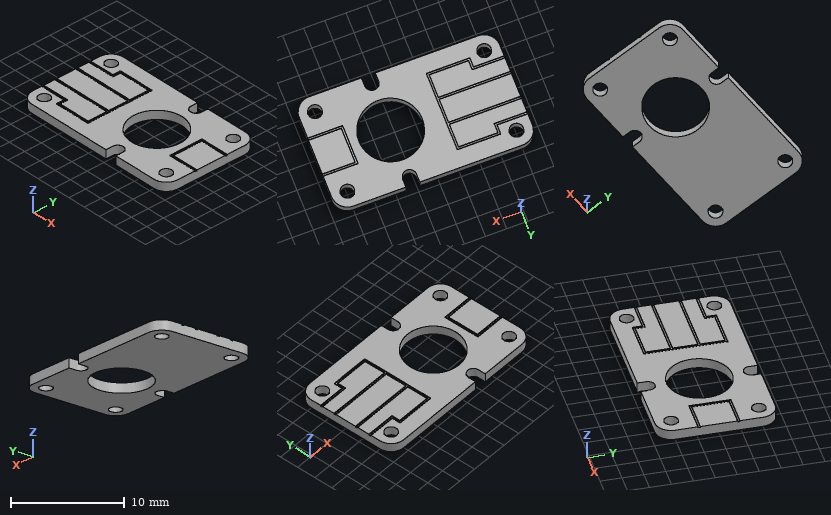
import cadquery as cq

length = 19.0
width = 11.0
thickness = 1.0
corner_radius = 1.5

mount_hole_diameter = 1.3
bore_diameter = 5.97
bore_x = 2.38
notch_width = 1.3
notch_depth = 1.46

groove_width = 0.19
groove_depth = 0.1

left_group_length = 7.03
left_group_half_width = 3.82
neck_length = 2.93
neck_half_width = 2.9
divider_y = 1.25

right_group_length = 3.3
right_group_width = 3.8


def box_between(x_min, x_max, y_min, y_max, z_min, z_max):
    size = (x_max - x_min, y_max - y_min, z_max - z_min)
    return cq.Workplane("XY").box(*size, centered=False).translate((x_min, y_min, z_min))


def groove_block(x_min, x_max, half_width):
    """Block of groove depth under the top face, symmetric about the X axis."""
    return box_between(x_min, x_max, -half_width, half_width, thickness - groove_depth, thickness)


def make_plate():
    plate = cq.Workplane("XY").box(length, width, thickness, centered=(True, True, False))
    plate = plate.edges("|Z").fillet(corner_radius)
    holes = (
        cq.Workplane("XY")
        .rect(length - 2 * corner_radius, width - 2 * corner_radius, forConstruction=True)
        .vertices()
        .circle(mount_hole_diameter / 2)
        .extrude(thickness)
    )
    bore = cq.Workplane("XY").center(bore_x, 0).circle(bore_diameter / 2).extrude(thickness)
    return plate.cut(holes).cut(bore)


def make_notch(side):
    """Round-ended notch in the long edge on the +Y (side = 1) or -Y (side = -1) side."""
    return (
        cq.Workplane("XY")
        .center(bore_x, side * width / 2)
        .slot2D(2 * notch_depth, notch_width, 90)
        .extrude(thickness)
    )


def make_left_grooves():
    left = -length / 2
    neck_end = left + neck_length
    right = left + left_group_length
    outer = groove_block(left, neck_end, neck_half_width).union(
        groove_block(neck_end, right, left_group_half_width)
    )
    pad_neck_end = neck_end + groove_width
    pad_right = right - groove_width
    pads = groove_block(left, pad_neck_end, neck_half_width - groove_width).union(
        groove_block(pad_neck_end, pad_right, left_group_half_width - groove_width)
    )
    grooves = outer.cut(pads)
    divider = groove_block(left, pad_right, groove_width / 2)
    for side in (-1, 1):
        grooves = grooves.union(divider.translate((0, side * divider_y, 0)))
    return grooves


def make_right_groove():
    right = length / 2
    left = right - right_group_length
    outer = groove_block(left, right, right_group_width / 2)
    pad = groove_block(left + groove_width, right, right_group_width / 2 - groove_width)
    return outer.cut(pad)


result = make_plate()
for notch_side in (-1, 1):
    result = result.cut(make_notch(notch_side))
result = result.cut(make_left_grooves()).cut(make_right_groove())